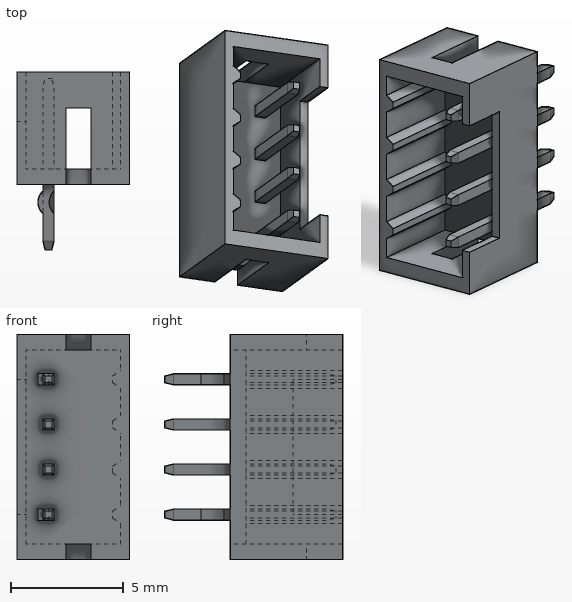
import cadquery as cq

WIDTH = 5.0
DEPTH = 5.0
HEIGHT = 10.0

FLOOR = 0.7
END_WALL = 0.7
NEAR_WALL = 0.4
FAR_WALL = 0.4

SLOT_WIDTH = 1.1
SLOT_CENTRE_X = 0.23
SLOT_REACH = 3.4

WINDOW_HEIGHT = 6.0
WINDOW_DEPTH = 2.2

RIB_BASE = 0.8
RIB_CREST = 0.3
RIB_RISE = 0.35

PIN_COUNT = 4
PITCH = 2.0
PIN_X = -1.1
PIN_SIZE = 0.5
TIP_SIZE = 0.3
TIP_LENGTH = 0.4
TAIL_LENGTH = 2.9
PIN_RECESS = 0.3

KINK_Y = -0.78
KINK_LENGTH = 1.0
KINK_RISE = 0.22

CAVITY_X_MIN = -WIDTH / 2 + NEAR_WALL
CAVITY_X_MAX = WIDTH / 2 - FAR_WALL
CAVITY_HEIGHT = HEIGHT - 2 * END_WALL
PIN_START_Y = -TAIL_LENGTH
PIN_END_Y = DEPTH - PIN_RECESS
PIN_ROW = [(i - (PIN_COUNT - 1) / 2) * PITCH for i in range(PIN_COUNT)]


def block(x_range, y_range, height):
    """Box spanning the given X and Y ranges, centred on Z = 0."""
    (x0, x1), (y0, y1) = x_range, y_range
    size = (x1 - x0, y1 - y0, height)
    return cq.Workplane("XY").box(*size, centered=(False, False, True)).translate((x0, y0, 0))


def make_housing():
    body = block((-WIDTH / 2, WIDTH / 2), (0, DEPTH), HEIGHT)
    cavity = block((CAVITY_X_MIN, CAVITY_X_MAX), (FLOOR, DEPTH), CAVITY_HEIGHT)
    window = block((-WIDTH / 2, CAVITY_X_MIN), (DEPTH - WINDOW_DEPTH, DEPTH), WINDOW_HEIGHT)
    return body.cut(cavity).cut(window)


def make_end_slot(side):
    """Slot through one end wall; side is +1 for the top end and -1 for the bottom."""
    slot_x = (SLOT_CENTRE_X - SLOT_WIDTH / 2, SLOT_CENTRE_X + SLOT_WIDTH / 2)
    slot = block(slot_x, (0, SLOT_REACH), END_WALL)
    return slot.translate((0, 0, side * (HEIGHT - END_WALL) / 2))


def make_rib(z):
    """Trapezoidal rib running the full depth of the cavity."""
    crest_x = CAVITY_X_MAX - RIB_RISE
    outline = [
        (CAVITY_X_MAX, z - RIB_BASE / 2),
        (crest_x, z - RIB_CREST / 2),
        (crest_x, z + RIB_CREST / 2),
        (CAVITY_X_MAX, z + RIB_BASE / 2),
    ]
    return cq.Workplane("XZ", origin=(0, DEPTH, 0)).polyline(outline).close().extrude(DEPTH - FLOOR)


def make_tip(base_y, end_y):
    """Square taper from the pin section at base_y to the tip face at end_y."""
    return (
        cq.Workplane("XZ", origin=(0, base_y, 0))
        .rect(PIN_SIZE, PIN_SIZE)
        .workplane(offset=base_y - end_y)
        .rect(TIP_SIZE, TIP_SIZE)
        .loft(ruled=True)
    )


def make_shank(kinked):
    """Constant-thickness length of the pin, with an arched kink in its tail if wanted."""
    y_min = PIN_START_Y + TIP_LENGTH
    y_max = PIN_END_Y - TIP_LENGTH
    half = PIN_SIZE / 2
    kink_start = KINK_Y - KINK_LENGTH / 2
    kink_end = KINK_Y + KINK_LENGTH / 2
    outline = cq.Workplane("XY", origin=(0, 0, -half)).moveTo(-half, y_min)
    if kinked:
        outline = outline.lineTo(-half, kink_start)
        outline = outline.threePointArc((-half - KINK_RISE, KINK_Y), (-half, kink_end))
    outline = outline.lineTo(-half, y_max).lineTo(half, y_max)
    if kinked:
        outline = outline.lineTo(half, kink_end)
        outline = outline.threePointArc((half - KINK_RISE, KINK_Y), (half, kink_start))
    return outline.lineTo(half, y_min).close().extrude(PIN_SIZE)


def make_pin(z, kinked):
    pin = make_shank(kinked)
    pin = pin.union(make_tip(PIN_START_Y + TIP_LENGTH, PIN_START_Y))
    pin = pin.union(make_tip(PIN_END_Y - TIP_LENGTH, PIN_END_Y))
    return pin.translate((PIN_X, 0, z))


result = make_housing()
for end in (-1, 1):
    result = result.cut(make_end_slot(end))
for pin_z in PIN_ROW:
    is_outer = pin_z in (PIN_ROW[0], PIN_ROW[-1])
    result = result.union(make_rib(pin_z))
    result = result.union(make_pin(pin_z, is_outer))